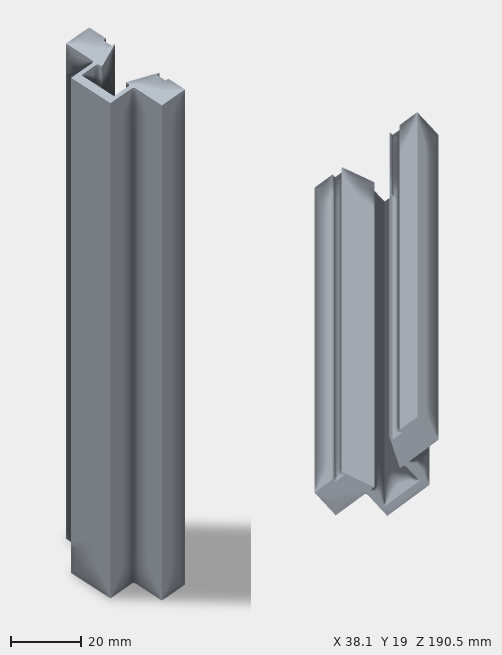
import cadquery as cq

length = 190.5
width = 38.1
depth = 19.0

flange_depth = 9.5
notch_outer_x = 12.4
notch_depth = 1.1
lip_x = 9.0
lip_land = 0.2
throat_x = 4.8

channel_width = 15.6
side_wall = 1.3
floor_thickness = 2.9
root_fillet = 0.8

back_y = depth / 2
front_y = -depth / 2
flange_front_y = back_y - flange_depth
notch_y = back_y - notch_depth
outer_x = width / 2
channel_outer_x = channel_width / 2
channel_inner_x = channel_outer_x - side_wall
floor_y = front_y + floor_thickness

half_section = [
    (0, front_y),
    (channel_outer_x, front_y),
    (channel_outer_x, flange_front_y),
    (outer_x, flange_front_y),
    (outer_x, back_y),
    (notch_outer_x, back_y),
    (notch_outer_x, notch_y),
    (lip_x, notch_y),
    (lip_x, back_y),
    (lip_x - lip_land, back_y),
    (throat_x, flange_front_y),
    (channel_inner_x, flange_front_y),
    (channel_inner_x, floor_y),
    (0, floor_y),
]


def fillet_roots(body):
    """Round the corners where the channel walls meet the flanges."""
    for side in (-1, 1):
        for x in (channel_outer_x, channel_inner_x):
            corner = cq.selectors.NearestToPointSelector((side * x, flange_front_y, length / 2))
            body = body.edges("|Z").edges(corner).fillet(root_fillet)
    return body


half = cq.Workplane("XY").polyline(half_section).close().extrude(length)
profile = half.union(half.mirror("YZ")).clean()
result = fillet_roots(profile)